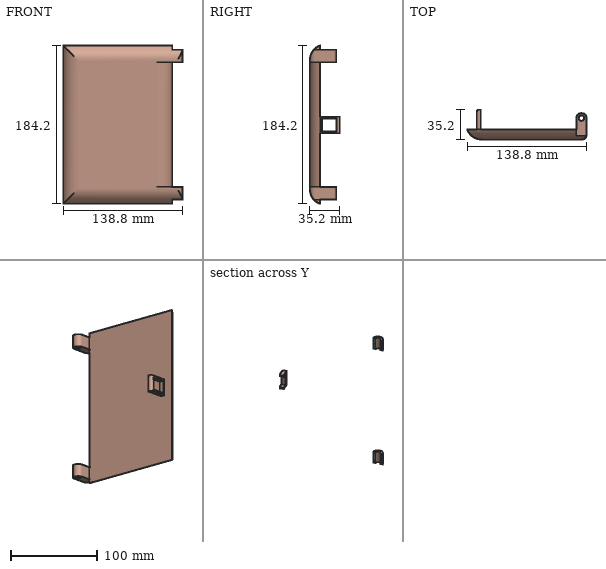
import cadquery as cq
import math

height = 184.2
overall_width = 138.8
overall_depth = 35.2
thickness = 12.2
rim_width = 17.5
rim_radius = (rim_width**2 + thickness**2) / (2 * thickness)

arm_width = 12.0
arm_radius = arm_width / 2
arm_outer_inset = 5.0
arm_height = 15.0
arm_depth = 31.1
hinge_hole_diameter = 6.0
panel_width = overall_width - arm_width
hinge_x = overall_width - arm_radius
hinge_y = arm_depth - arm_radius

latch_x = 11.2
latch_z = 91.7
latch_thickness = 5.0
latch_height = 19.5
latch_corner_radius = 2.8
window_height = 14.7
window_depth = 16.5
window_offset = 2.2


def rim_midpoint():
    """Middle of the rim arc as (inset from the edge, Y)."""
    half_sweep = math.asin(rim_width / rim_radius) / 2
    inset = rim_width - rim_radius * math.sin(half_sweep)
    return inset, rim_radius * (1 - math.cos(half_sweep))


def width_profile(right_end):
    """XY outline with a rounded rim on the -X side and, if right_end is False, on both sides."""
    inset, mid_y = rim_midpoint()
    outline = cq.Workplane("XY").moveTo(0, thickness)
    outline = outline.threePointArc((inset, mid_y), (rim_width, 0))
    if right_end:
        corner = arm_radius * (1 - math.sqrt(0.5))
        outline = outline.lineTo(hinge_x, 0)
        outline = outline.threePointArc((overall_width - corner, corner), (overall_width, arm_radius))
        outline = outline.lineTo(overall_width, thickness)
    else:
        outline = outline.lineTo(panel_width - rim_width, 0)
        outline = outline.threePointArc((panel_width - inset, mid_y), (panel_width, thickness))
    return outline.close()


def height_profile():
    """YZ outline with a rounded rim at the top and bottom, extruded across the full width."""
    inset, mid_y = rim_midpoint()
    return (
        cq.Workplane("YZ")
        .moveTo(thickness, 0)
        .threePointArc((mid_y, inset), (0, rim_width))
        .lineTo(0, height - rim_width)
        .threePointArc((mid_y, height - inset), (thickness, height))
        .close()
        .extrude(overall_width)
    )


def panel():
    arm_inner_inset = arm_outer_inset + arm_height
    body = width_profile(True).extrude(height).intersect(height_profile())

    middle_height = height - 2 * arm_inner_inset
    middle_keep = width_profile(False).extrude(middle_height)
    middle_cut = cq.Workplane("XY").box(
        overall_width, thickness, middle_height, centered=False
    ).cut(middle_keep)
    body = body.cut(middle_cut.translate((0, 0, arm_inner_inset)))

    notch = cq.Workplane("XY").box(arm_width, thickness, arm_outer_inset, centered=False)
    for z in (0, height - arm_outer_inset):
        body = body.cut(notch.translate((panel_width, 0, z)))
    return body


def hinge_arm(z):
    """Round-ended arm starting inside the panel, without its pin hole."""
    return (
        cq.Workplane("XY", origin=(0, 0, z))
        .moveTo(panel_width, arm_radius)
        .lineTo(overall_width, arm_radius)
        .lineTo(overall_width, hinge_y)
        .threePointArc((hinge_x, arm_depth), (panel_width, hinge_y))
        .close()
        .extrude(arm_height)
    )


def latch_loop():
    loop_depth = overall_depth - thickness
    loop = (
        cq.Workplane("XY")
        .box(latch_thickness, loop_depth, latch_height, centered=(False, False, True))
        .edges("|Z and <X and >Y")
        .fillet(latch_corner_radius)
    )
    window = cq.Workplane("XY").box(
        latch_thickness, window_depth, window_height, centered=(False, False, True)
    )
    loop = loop.cut(window.translate((0, window_offset, 0)))
    return loop.translate((latch_x, thickness, latch_z))


result = panel()
for arm_z in (arm_outer_inset, height - arm_outer_inset - arm_height):
    result = result.union(hinge_arm(arm_z))
result = result.union(latch_loop())

pin_hole = (
    cq.Workplane("XY")
    .center(hinge_x, hinge_y)
    .circle(hinge_hole_diameter / 2)
    .extrude(height)
)
result = result.cut(pin_hole)